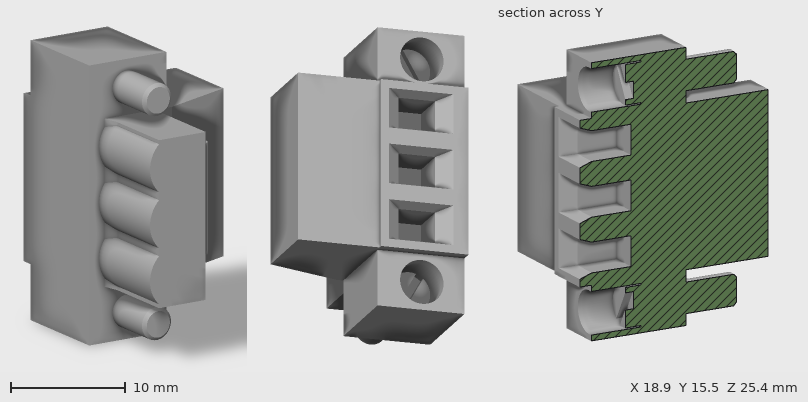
import cadquery as cq
import math


pitch = 5.08
pole_centres = [-pitch, 0.0, pitch]
row_width = 3 * pitch

total_height_z = 25.4
housing_end_x = 10.62
housing_depth_y = 8.03
flange_front_x = 1.15
flange_top_y = 7.98
rear_block_front_x = 0.45
rear_block_top_x = 8.13
rear_block_top_y = 15.5
slope_foot_y = 8.59

plug_end_x = 18.85
plug_top_y = 6.78
web_y = 1.95
web_ramp_start_y = 1.6
web_ramp_end_x = 12.1
rib_crest_y = 1.02
rib_half_width = 2.18

latch_width = 2 * pitch
latch_root_x = 9.8
latch_root_y = 10.8
latch_knee_x = 14.12
latch_knee_y = 10.03
latch_underside_y = 8.5
latch_underside_end_x = 13.61
latch_tip_x = 14.65
latch_tip_radius = 0.58
latch_tip_start_angle = 41
latch_tip_end_angle = 234

funnel_centre_y = 4.35
funnel_mouth_y = 5.9
funnel_mouth_z = 3.6
funnel_throat_y = 3.35
funnel_throat_z = 2.77
funnel_depth = 1.2
wire_hole_end_x = 5.08

screw_y = 3.9
screw_z = 2 * pitch
screw_hole_diameter = 4.0
screw_hole_end_x = 6.1
head_diameter = 3.8
head_front_x = 4.57
slot_width = 0.75
slot_depth = 0.75
slot_angle = 30
pin_diameter = 3.0
pin_end_x = 15.67
pin_chamfer = 0.3


def box_between(x_range, y_range, z_width):
    """Box between two X and two Y values, centred on Z = 0."""
    length = x_range[1] - x_range[0]
    depth = y_range[1] - y_range[0]
    return (
        cq.Workplane("XY")
        .box(length, depth, z_width, centered=(False, False, True))
        .translate((x_range[0], y_range[0], 0))
    )


def extrude_row(profile, width):
    """Extrude a closed XY profile to both sides of Z = 0."""
    return profile.close().extrude(width / 2, both=True)


def along_x(x, y, z):
    """YZ workplane facing +X, with its origin at the given point."""
    return cq.Workplane("YZ", origin=(x, y, z))


def make_housing():
    flange = box_between(
        (flange_front_x, housing_end_x),
        (0, flange_top_y),
        total_height_z,
    )
    core = box_between((0, housing_end_x), (0, housing_depth_y), row_width)
    rear_block = extrude_row(
        cq.Workplane("XY")
        .moveTo(rear_block_front_x, 0)
        .lineTo(rear_block_front_x, rear_block_top_y)
        .lineTo(rear_block_top_x, rear_block_top_y)
        .lineTo(housing_end_x, slope_foot_y)
        .lineTo(housing_end_x, 0),
        row_width,
    )
    return flange.union(core).union(rear_block)


def make_plug():
    plug = extrude_row(
        cq.Workplane("XY")
        .moveTo(housing_end_x, web_ramp_start_y)
        .lineTo(web_ramp_end_x, web_y)
        .lineTo(plug_end_x, web_y)
        .lineTo(plug_end_x, plug_top_y)
        .lineTo(housing_end_x, plug_top_y),
        row_width,
    )
    for z in pole_centres:
        rib = (
            along_x(housing_end_x, 0, z)
            .moveTo(web_y, -rib_half_width)
            .threePointArc((rib_crest_y, 0), (web_y, rib_half_width))
            .close()
            .extrude(plug_end_x - housing_end_x)
        )
        plug = plug.union(rib)
    return plug


def latch_tip_point(angle):
    """Point on the rounded latch tip; the angle is in degrees from +X toward +Y."""
    a = math.radians(angle)
    return (
        latch_tip_x + latch_tip_radius * math.cos(a),
        latch_underside_y + latch_tip_radius * math.sin(a),
    )


def make_latch():
    tip_start = latch_tip_point(latch_tip_start_angle)
    tip_middle = latch_tip_point((latch_tip_start_angle + latch_tip_end_angle - 360) / 2)
    tip_end = latch_tip_point(latch_tip_end_angle)
    return extrude_row(
        cq.Workplane("XY")
        .moveTo(latch_root_x, latch_underside_y)
        .lineTo(latch_root_x, latch_root_y)
        .lineTo(latch_knee_x, latch_knee_y)
        .lineTo(*tip_start)
        .threePointArc(tip_middle, tip_end)
        .lineTo(latch_underside_end_x, latch_underside_y),
        latch_width,
    )


def make_wire_funnel(z):
    taper = (
        along_x(0, funnel_centre_y, z)
        .rect(funnel_mouth_y, funnel_mouth_z)
        .workplane(offset=funnel_depth)
        .rect(funnel_throat_y, funnel_throat_z)
        .loft(ruled=True)
    )
    wire_hole = (
        along_x(funnel_depth, funnel_centre_y, z)
        .rect(funnel_throat_y, funnel_throat_z)
        .extrude(wire_hole_end_x - funnel_depth)
    )
    return taper.union(wire_hole)


def make_screw_hole(z):
    return (
        along_x(flange_front_x, screw_y, z)
        .circle(screw_hole_diameter / 2)
        .extrude(screw_hole_end_x - flange_front_x)
    )


def make_screw(z):
    """Slotted head inside the flange and chamfered pin beyond it; slots mirror about Z = 0."""
    head = (
        along_x(head_front_x, screw_y, z)
        .circle(head_diameter / 2)
        .extrude(screw_hole_end_x - head_front_x)
    )
    slot = (
        along_x(head_front_x, screw_y, z)
        .transformed(rotate=(0, 0, -math.copysign(slot_angle, z)))
        .rect(slot_width, 2 * head_diameter)
        .extrude(slot_depth)
    )
    pin = (
        along_x(screw_hole_end_x, screw_y, z)
        .circle(pin_diameter / 2)
        .extrude(pin_end_x - screw_hole_end_x)
        .faces(">X")
        .chamfer(pin_chamfer)
    )
    return head.cut(slot).union(pin)


result = make_housing().union(make_plug()).union(make_latch())

for pole_z in pole_centres:
    result = result.cut(make_wire_funnel(pole_z))

for side_z in (-screw_z, screw_z):
    result = result.cut(make_screw_hole(side_z)).union(make_screw(side_z))